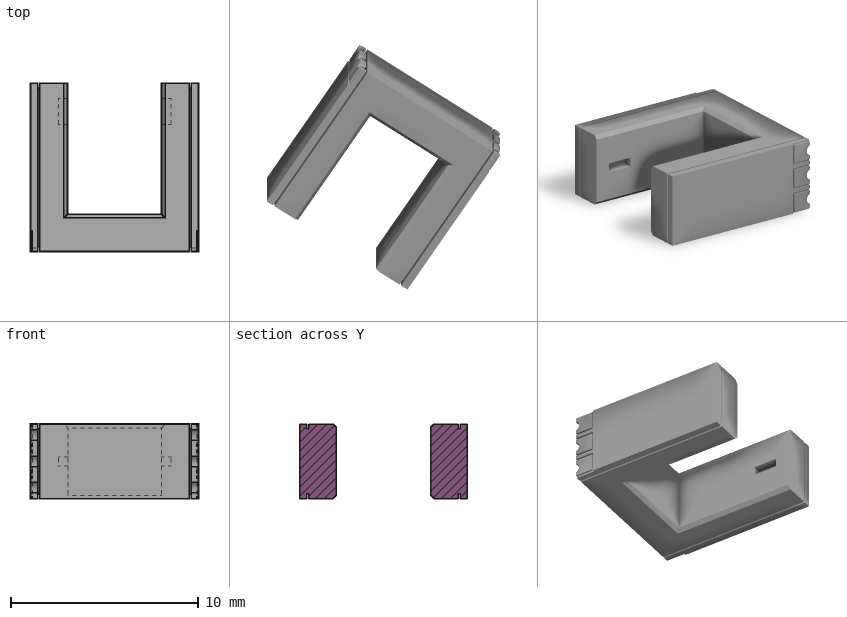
import cadquery as cq

LENGTH_X = 9.0
LENGTH_Y = 9.0
HEIGHT = 4.0

WALL = 2.0
EDGE_CHAMFER = 0.2

PLATE_THICKNESS = 0.4
PLATE_GAP = 0.1
GAP_DEPTH = 0.25

PAD_COUNT = 3
PAD_PITCH = 1.4
PAD_LENGTH = 1.0
PAD_HEIGHT = 1.0
FRAME_WIDTH = 0.1
FRAME_DEPTH = 0.1

NOTCH_RADIUS = 0.3
NOTCH_DEPTH = 0.2

WINDOW_LENGTH = 1.4
WINDOW_HEIGHT = 0.5
WINDOW_DEPTH = 0.5
WINDOW_CENTER_Y = 7.5


def box(x, y, z, size_x, size_y, size_z):
    """Box with its minimum corner at (x, y, z)."""
    return cq.Workplane("XY").box(size_x, size_y, size_z, centered=False).translate((x, y, z))


def mirrored_pair(left_feature):
    """A feature of the -X side together with its mirror image on the +X side."""
    mid_plane = (LENGTH_X / 2, 0, 0)
    return left_feature.union(left_feature.mirror("YZ", mid_plane))


def opening():
    """Void between the arms, open at the back, widening at the top and bottom edges."""
    width = LENGTH_X - 2 * WALL
    void = box(WALL, WALL, 0, width, LENGTH_Y, HEIGHT)
    top_flare = (
        cq.Workplane("XY", origin=(LENGTH_X / 2, WALL + LENGTH_Y / 2, HEIGHT))
        .rect(width + 2 * EDGE_CHAMFER, LENGTH_Y + 2 * EDGE_CHAMFER)
        .workplane(offset=-EDGE_CHAMFER)
        .rect(width, LENGTH_Y)
        .loft(combine=True)
    )
    bottom_flare = top_flare.mirror("XY", (0, 0, HEIGHT / 2))
    return void.union(top_flare).union(bottom_flare)


def plate_groove():
    """Groove running around all four edges between the left plate and the body."""
    slab = box(PLATE_THICKNESS, 0, 0, PLATE_GAP, LENGTH_Y, HEIGHT)
    core = box(
        PLATE_THICKNESS,
        GAP_DEPTH,
        GAP_DEPTH,
        PLATE_GAP,
        LENGTH_Y - 2 * GAP_DEPTH,
        HEIGHT - 2 * GAP_DEPTH,
    )
    return slab.cut(core)


def pad_frame(center_z):
    """Shallow groove around three sides of a pad on the left plate."""
    frame_height = PAD_HEIGHT + 2 * FRAME_WIDTH
    frame_length = PAD_LENGTH + FRAME_WIDTH
    frame = box(0, 0, center_z - frame_height / 2, FRAME_DEPTH, frame_length, frame_height)
    pad = box(0, 0, center_z - PAD_HEIGHT / 2, FRAME_DEPTH, PAD_LENGTH, PAD_HEIGHT)
    return frame.cut(pad)


def pad_notch(center_z):
    """Round notch through the left plate, its axis just outside the front face."""
    axis_y = NOTCH_DEPTH - NOTCH_RADIUS
    return (
        cq.Workplane("YZ")
        .center(axis_y, center_z)
        .circle(NOTCH_RADIUS)
        .extrude(PLATE_THICKNESS)
    )


def window():
    """Rectangular pocket in the inner face of the left arm."""
    return box(
        WALL - WINDOW_DEPTH,
        WINDOW_CENTER_Y - WINDOW_LENGTH / 2,
        (HEIGHT - WINDOW_HEIGHT) / 2,
        WINDOW_DEPTH,
        WINDOW_LENGTH,
        WINDOW_HEIGHT,
    )


result = box(0, 0, 0, LENGTH_X, LENGTH_Y, HEIGHT).cut(opening())
result = result.cut(mirrored_pair(plate_groove()))
result = result.cut(mirrored_pair(window()))

for index in range(PAD_COUNT):
    pad_center_z = HEIGHT / 2 + (index - (PAD_COUNT - 1) / 2) * PAD_PITCH
    result = result.cut(mirrored_pair(pad_frame(pad_center_z)))
    result = result.cut(mirrored_pair(pad_notch(pad_center_z)))